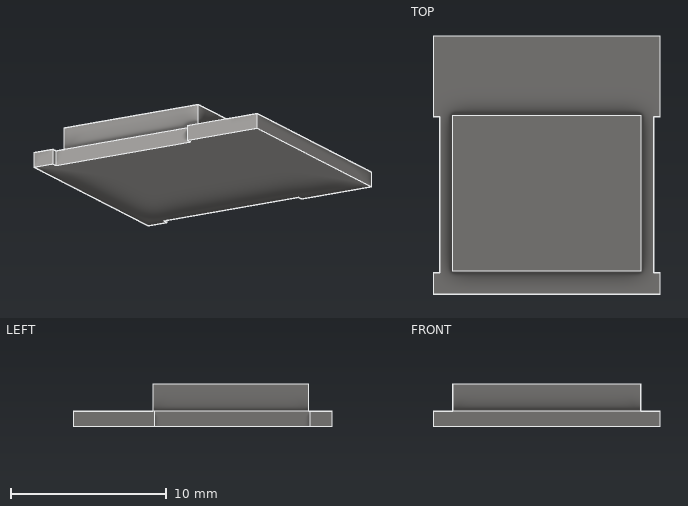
import cadquery as cq

board_width = 14.55
board_length = 16.6
board_thickness = 1.0

recess_depth = 0.4
recess_length = 10.0
recess_front_offset = 1.4

total_height = 2.75
can_width = 12.1
can_length = 10.0
can_front_offset = 1.5
can_height = total_height - board_thickness

board_front_y = -board_length / 2


def block(width, length, height, center_x, front_y, bottom_z):
    """Box centred on center_x, starting at front_y and bottom_z."""
    return (
        cq.Workplane("XY")
        .box(width, length, height, centered=(True, False, False))
        .translate((center_x, front_y, bottom_z))
    )


def make_board():
    board = block(board_width, board_length, board_thickness, 0, board_front_y, 0)
    recess_front_y = board_front_y + recess_front_offset
    for side in (-1, 1):
        edge_x = side * board_width / 2
        cutter = block(2 * recess_depth, recess_length, board_thickness, edge_x, recess_front_y, 0)
        board = board.cut(cutter)
    return board


def make_can():
    can_front_y = board_front_y + can_front_offset
    return block(can_width, can_length, can_height, 0, can_front_y, board_thickness)


result = make_board().union(make_can())